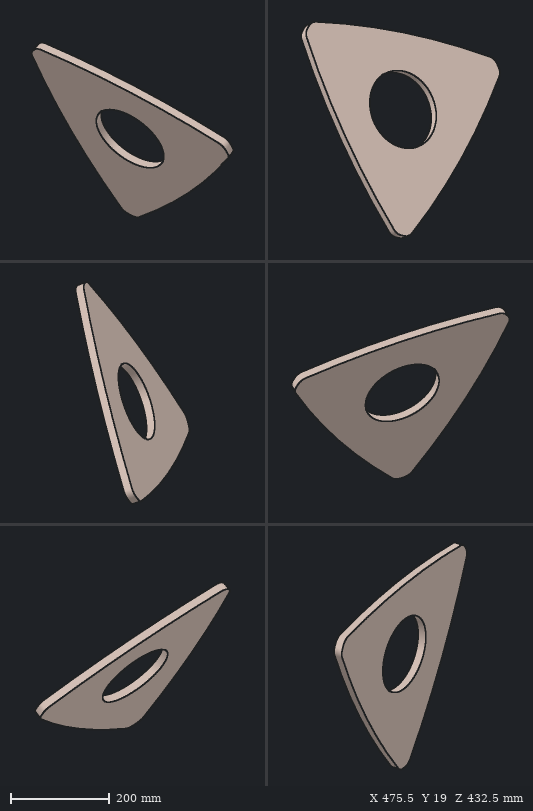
import cadquery as cq
import math

width = 475.5
thickness = 19.0
hole_diameter = 162.5
side_distance = 164.0
tip_distance = 268.5
blend_radius = 24.0
side_count = 3
sector_angle = 360.0 / side_count

corner_angle = math.radians(30)
blend_axial = tip_distance - blend_radius
flat_half = (
    width / 2 - blend_radius - blend_axial * math.cos(corner_angle)
) / math.sin(corner_angle)

blend_x = blend_axial * math.cos(corner_angle) - flat_half * math.sin(corner_angle)
blend_z = blend_axial * math.sin(corner_angle) + flat_half * math.cos(corner_angle)

blend_depth = side_distance - blend_radius - blend_z
side_radius = blend_radius + (blend_x**2 + blend_depth**2) / (2 * blend_depth)


def turned(point, degrees):
    """Rotate an (x, z) point about the hole axis."""
    angle = math.radians(degrees)
    x, z = point
    return (
        x * math.cos(angle) - z * math.sin(angle),
        x * math.sin(angle) + z * math.cos(angle),
    )


def blend_point(angle):
    """Point of the upper right blend whose normal is at this angle above +X."""
    return (
        blend_x + blend_radius * math.cos(angle),
        blend_z + blend_radius * math.sin(angle),
    )


def mirrored(point):
    """Reflect an (x, z) point to the other side of the Z axis."""
    return (-point[0], point[1])


def plate():
    """Three bowed sides joined by flat-tipped round corners, centred on Y."""
    side_normal = math.atan2(blend_z - side_distance + side_radius, blend_x)
    side_end = blend_point(side_normal)
    blend_middle = blend_point((side_normal + corner_angle) / 2)
    flat_end = blend_point(corner_angle)

    outline = cq.Workplane("XZ", origin=(0, thickness / 2, 0)).moveTo(*flat_end)
    for index in range(side_count):
        turn = index * sector_angle
        outline = (
            outline
            .threePointArc(turned(blend_middle, turn), turned(side_end, turn))
            .threePointArc(turned((0, side_distance), turn), turned(mirrored(side_end), turn))
            .threePointArc(turned(mirrored(blend_middle), turn), turned(mirrored(flat_end), turn))
        )
        if index < side_count - 1:
            outline = outline.lineTo(*turned(flat_end, turn + sector_angle))
    return outline.close().extrude(thickness)


def center_hole():
    """Cylinder through the full thickness."""
    workplane = cq.Workplane("XZ", origin=(0, thickness / 2, 0))
    return workplane.circle(hole_diameter / 2).extrude(thickness)


result = plate().cut(center_hole())